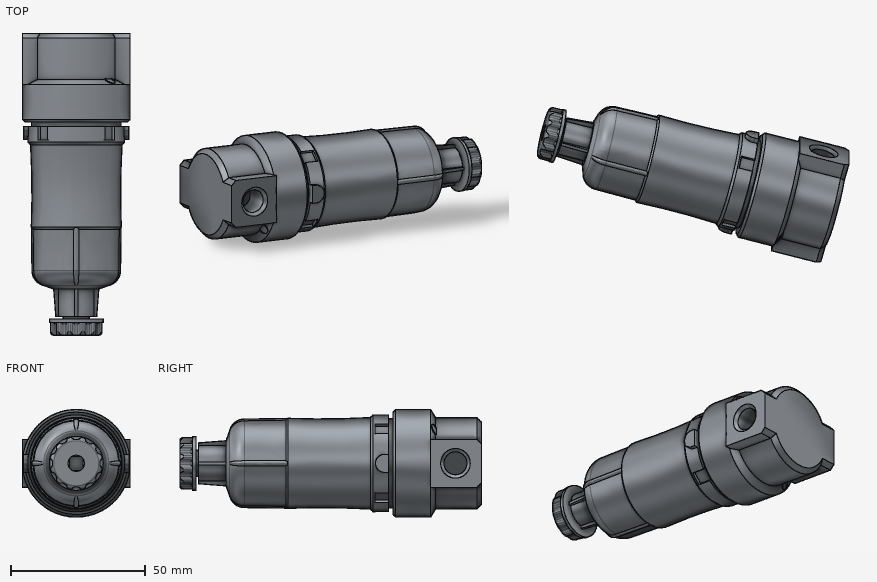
import cadquery as cq
import math


HEAD_DIAMETER = 40.0
CAP_DIAMETER = 33.9
CAP_CHAMFER = 1.8
SHOULDER_START = 17.1
FLANGE_START = 18.9
HEAD_LENGTH = 32.9
FLANGE_CHAMFER = 1.0
PORT_BLOCK_HEIGHT = 17.8
PORT_STATION = 9.7
PORT_DIAMETER = 8.5
PORT_MOUTH_DIAMETER = 11.0
PORT_DEPTH = 11.2
PAD_DIAMETER = 4.0
PAD_HEIGHT = 0.2
PAD_ROOT_DEPTH = 1.1
PAD_STATION = 17.6
PAD_ANGLE = -45

NECK_DIAMETER = 33.3
COLLAR_DIAMETER = 36.0
COLLAR_START = 34.5
COLLAR_END = 40.3
SLEEVE_START = 41.3
SLEEVE_END = 71.9
SLEEVE_START_DIAMETER = 34.0
SLEEVE_WAIST_DIAMETER = 33.0
SLEEVE_END_DIAMETER = 33.5
SLEEVE_LIP = 0.8

BUTTON_SPAN = 39.0
BUTTON_WIDTH = 6.7
BUTTON_LENGTH = 4.9
WINDOW_WIDTH = 4.9
WINDOW_LENGTH = 5.2
WINDOW_ANGLE = 46

BOWL_START_DIAMETER = 32.0
BOWL_END_DIAMETER = 31.6
DOME_START = 88.0
DOME_RADIUS = 5.9
DOME_SWEEP = math.radians(68)
CONE_END = 94.9
CONE_END_DIAMETER = 16.8
BEAD_DIAMETER = 2.0
BEAD_HEIGHT = 0.7
BEAD_COUNT = 4

BOSS_DIAMETER = 13.2
BOSS_END = 105.0
FIN_THICKNESS = 1.1
FIN_ROOT_SPAN = 16.8
FIN_TIP_SPAN = 15.2
FIN_COUNT = 4

STEM_DIAMETER = 9.7
KNOB_FLANGE_DIAMETER = 20.0
KNOB_GRIP_DIAMETER = 19.6
KNOB_START = 106.0
KNOB_FLANGE_END = 107.2
KNOB_END = 112.0
KNOB_FILLET = 1.5
FLUTE_MOUTH_WIDTH = 4.3
FLUTE_FLOOR_WIDTH = 1.0
FLUTE_DEPTH = 1.0
FLUTE_END_FILLET = 0.7
FLUTE_COUNT = 12
SOCKET_DIAMETER = 6.0
SOCKET_WIDTH = 5.2
SOCKET_DEPTH = 5.6


def revolved(outline):
    """Solid of revolution about the Y axis from an outline drawn as (radius, -station)."""
    return outline.close().revolve(360, (0, 0, 0), (0, 1, 0))


def cylinder(diameter, start, end):
    """Cylinder on the Y axis between two stations."""
    return cq.Workplane("XZ", origin=(0, -start, 0)).circle(diameter / 2).extrude(end - start)


def around_axis(shape, count, first_angle=0):
    """Copies of a shape spread evenly about the Y axis."""
    return [
        shape.rotate((0, 0, 0), (0, 1, 0), first_angle + index * 360 / count)
        for index in range(count)
    ]


def add_all(body, shapes):
    for shape in shapes:
        body = body.union(shape)
    return body


def cut_all(body, shapes):
    for shape in shapes:
        body = body.cut(shape)
    return body


def make_port():
    """Blind port on the +X side with a conical mouth."""
    port_radius = PORT_DIAMETER / 2
    mouth_radius = PORT_MOUTH_DIAMETER / 2
    mouth_depth = mouth_radius - port_radius
    return (
        cq.Workplane("XY")
        .moveTo(HEAD_DIAMETER / 2, -PORT_STATION)
        .lineTo(HEAD_DIAMETER / 2, mouth_radius - PORT_STATION)
        .lineTo(HEAD_DIAMETER / 2 - mouth_depth, port_radius - PORT_STATION)
        .lineTo(HEAD_DIAMETER / 2 - PORT_DEPTH, port_radius - PORT_STATION)
        .lineTo(HEAD_DIAMETER / 2 - PORT_DEPTH, -PORT_STATION)
        .close()
        .revolve(360, (0, -PORT_STATION, 0), (1, -PORT_STATION, 0))
    )


def make_pad():
    """Low round pad standing square on the conical shoulder."""
    shoulder_rise = (HEAD_DIAMETER - CAP_DIAMETER) / 2
    shoulder_run = FLANGE_START - SHOULDER_START
    pad_radius = CAP_DIAMETER / 2 + shoulder_rise * (PAD_STATION - SHOULDER_START) / shoulder_run
    shoulder_face = cq.Plane(
        origin=(pad_radius, -PAD_STATION, 0), xDir=(0, 0, 1), normal=(shoulder_run, shoulder_rise, 0)
    )
    pad = (
        cq.Workplane(shoulder_face)
        .workplane(offset=-PAD_ROOT_DEPTH)
        .circle(PAD_DIAMETER / 2)
        .extrude(PAD_ROOT_DEPTH + PAD_HEIGHT)
    )
    return pad.rotate((0, 0, 0), (0, 1, 0), PAD_ANGLE)


def make_head():
    cap_radius = CAP_DIAMETER / 2
    head_radius = HEAD_DIAMETER / 2
    turned = revolved(
        cq.Workplane("XY")
        .lineTo(cap_radius - CAP_CHAMFER, 0)
        .lineTo(cap_radius, -CAP_CHAMFER)
        .lineTo(cap_radius, -SHOULDER_START)
        .lineTo(head_radius, -FLANGE_START)
        .lineTo(head_radius, FLANGE_CHAMFER - HEAD_LENGTH)
        .lineTo(head_radius - FLANGE_CHAMFER, -HEAD_LENGTH)
        .lineTo(0, -HEAD_LENGTH)
    )
    port_block = (
        cq.Workplane("XY")
        .box(HEAD_DIAMETER, FLANGE_START, PORT_BLOCK_HEIGHT)
        .translate((0, -FLANGE_START / 2, 0))
        .edges("|X and >Y")
        .chamfer(CAP_CHAMFER)
    )
    head = add_all(turned.union(port_block), around_axis(make_pad(), 2))
    return cut_all(head, around_axis(make_port(), 2))


def make_bowl_shell():
    """Neck, collar, waisted sleeve and domed lower part in one turned shape."""
    bowl_radius = BOWL_END_DIAMETER / 2
    dome_centre_radius = bowl_radius - DOME_RADIUS
    half_sweep = DOME_SWEEP / 2
    dome_middle = (
        dome_centre_radius + DOME_RADIUS * math.cos(half_sweep),
        -DOME_START - DOME_RADIUS * math.sin(half_sweep),
    )
    dome_end = (
        dome_centre_radius + DOME_RADIUS * math.cos(DOME_SWEEP),
        -DOME_START - DOME_RADIUS * math.sin(DOME_SWEEP),
    )
    return revolved(
        cq.Workplane("XY")
        .moveTo(0, -HEAD_LENGTH)
        .lineTo(NECK_DIAMETER / 2, -HEAD_LENGTH)
        .lineTo(NECK_DIAMETER / 2, -COLLAR_START)
        .lineTo(COLLAR_DIAMETER / 2, -COLLAR_START)
        .lineTo(COLLAR_DIAMETER / 2, -COLLAR_END)
        .lineTo(SLEEVE_START_DIAMETER / 2, -SLEEVE_START)
        .threePointArc(
            (SLEEVE_WAIST_DIAMETER / 2, -(SLEEVE_START + SLEEVE_END) / 2),
            (SLEEVE_END_DIAMETER / 2, -SLEEVE_END),
        )
        .lineTo(BOWL_START_DIAMETER / 2, -SLEEVE_END - SLEEVE_LIP)
        .lineTo(bowl_radius, -DOME_START)
        .threePointArc(dome_middle, dome_end)
        .lineTo(CONE_END_DIAMETER / 2, -CONE_END)
        .lineTo(0, -CONE_END)
    )


def make_button():
    """Lock button on the +X side: flat face, square at the head and round towards the sleeve."""
    arc_centre = -COLLAR_START - BUTTON_LENGTH + BUTTON_WIDTH / 2
    return (
        cq.Workplane("YZ")
        .moveTo(-COLLAR_START, BUTTON_WIDTH / 2)
        .lineTo(arc_centre, BUTTON_WIDTH / 2)
        .threePointArc((-COLLAR_START - BUTTON_LENGTH, 0), (arc_centre, -BUTTON_WIDTH / 2))
        .lineTo(-COLLAR_START, -BUTTON_WIDTH / 2)
        .close()
        .extrude(BUTTON_SPAN / 2)
    )


def make_window():
    """Flat-floored pocket in the collar on the +X side, open towards the head."""
    depth = (COLLAR_DIAMETER - NECK_DIAMETER) / 2
    return cq.Workplane("XY").box(depth, WINDOW_LENGTH, WINDOW_WIDTH).translate(
        ((COLLAR_DIAMETER - depth) / 2, -COLLAR_START - WINDOW_LENGTH / 2, 0)
    )


def make_bead():
    """Round bead that runs along the bowl on the +X side and sinks into the end of the dome."""
    height_offset = BEAD_HEIGHT - BEAD_DIAMETER / 2
    start_radius = BOWL_START_DIAMETER / 2 + height_offset
    dome_end_radius = BOWL_END_DIAMETER / 2 - DOME_RADIUS + DOME_RADIUS * math.cos(DOME_SWEEP)
    dome_end = DOME_START + DOME_RADIUS * math.sin(DOME_SWEEP)
    sink = BEAD_DIAMETER / 2
    path = (
        cq.Workplane("XY")
        .moveTo(start_radius, -SLEEVE_END)
        .lineTo(BOWL_END_DIAMETER / 2 + height_offset, -DOME_START)
        .tangentArcPoint(
            (dome_end_radius - sink * math.cos(DOME_SWEEP), -dome_end + sink * math.sin(DOME_SWEEP)),
            relative=False,
        )
    )
    return (
        cq.Workplane("XZ", origin=(start_radius, -SLEEVE_END, 0))
        .circle(BEAD_DIAMETER / 2)
        .sweep(path)
    )


def make_fin():
    """Tapered fin on the +X side of the outlet boss."""
    return (
        cq.Workplane("XY")
        .moveTo(0, -CONE_END)
        .lineTo(FIN_ROOT_SPAN / 2, -CONE_END)
        .lineTo(FIN_TIP_SPAN / 2, -BOSS_END)
        .lineTo(0, -BOSS_END)
        .close()
        .extrude(FIN_THICKNESS / 2, both=True)
    )


def make_flute():
    """Cutter for a grip flute on the +X side: S-shaped sides, and a floor that curves out at the flange."""
    grip_radius = KNOB_GRIP_DIAMETER / 2
    floor_radius = grip_radius - FLUTE_DEPTH
    floor_half = FLUTE_FLOOR_WIDTH / 2
    mouth_half = FLUTE_MOUTH_WIDTH / 2
    mouth_radius = math.sqrt(grip_radius**2 - mouth_half**2)
    middle_radius = (floor_radius + mouth_radius) / 2
    middle_half = (floor_half + mouth_half) / 2
    cutter_height = KNOB_FLANGE_DIAMETER / 2 - floor_radius
    cutter_length = KNOB_END - KNOB_FLANGE_END
    half_flute = (
        cq.Workplane("XZ", origin=(0, -KNOB_FLANGE_END, 0))
        .moveTo(floor_radius, 0)
        .lineTo(floor_radius, floor_half)
        .tangentArcPoint((middle_radius, middle_half), relative=False)
        .tangentArcPoint((mouth_radius, mouth_half), relative=False)
        .lineTo(KNOB_FLANGE_DIAMETER / 2, mouth_half)
        .lineTo(KNOB_FLANGE_DIAMETER / 2, 0)
        .close()
        .extrude(cutter_length)
    )
    rounded_end = (
        cq.Workplane("XY")
        .box(cutter_height, cutter_length, FLUTE_MOUTH_WIDTH, centered=(False, False, True))
        .translate((floor_radius, -KNOB_END, 0))
        .edges("<X and >Y")
        .fillet(FLUTE_END_FILLET)
    )
    return half_flute.union(half_flute.mirror("XY")).intersect(rounded_end)


def make_socket():
    """Blind square socket with its corners trimmed to a circle, behind a conical mouth."""
    start = KNOB_END - SOCKET_DEPTH
    square = (
        cq.Workplane("XZ", origin=(0, -start, 0)).rect(SOCKET_WIDTH, SOCKET_WIDTH).extrude(SOCKET_DEPTH)
    )
    mouth = revolved(
        cq.Workplane("XY")
        .moveTo(0, -KNOB_END)
        .lineTo(SOCKET_DIAMETER / 2, -KNOB_END)
        .lineTo(SOCKET_WIDTH / 2, (SOCKET_DIAMETER - SOCKET_WIDTH) / 2 - KNOB_END)
        .lineTo(0, (SOCKET_DIAMETER - SOCKET_WIDTH) / 2 - KNOB_END)
    )
    return square.intersect(cylinder(SOCKET_DIAMETER, start, KNOB_END)).union(mouth)


def make_knob():
    """Fluted drain knob with a thin flange behind its grip and a socket in its face."""
    grip = cylinder(KNOB_GRIP_DIAMETER, KNOB_START, KNOB_END).faces("<Y").edges().fillet(KNOB_FILLET)
    grip = cut_all(grip, around_axis(make_flute(), FLUTE_COUNT))
    knob = grip.union(cylinder(KNOB_FLANGE_DIAMETER, KNOB_START, KNOB_FLANGE_END))
    return knob.cut(make_socket())


def make_bowl():
    bowl = make_bowl_shell()
    for angle in (WINDOW_ANGLE, -WINDOW_ANGLE):
        bowl = cut_all(bowl, around_axis(make_window(), 2, angle))
    bowl = add_all(bowl, around_axis(make_button(), 2))
    bowl = add_all(bowl, around_axis(make_bead(), BEAD_COUNT))
    bowl = bowl.union(cylinder(BOSS_DIAMETER, CONE_END, BOSS_END))
    bowl = add_all(bowl, around_axis(make_fin(), FIN_COUNT))
    bowl = bowl.union(cylinder(STEM_DIAMETER, BOSS_END, KNOB_START))
    return bowl.union(make_knob())


head = make_head()
bowl = make_bowl()

result = cq.Compound.makeCompound([head.val(), bowl.val()])